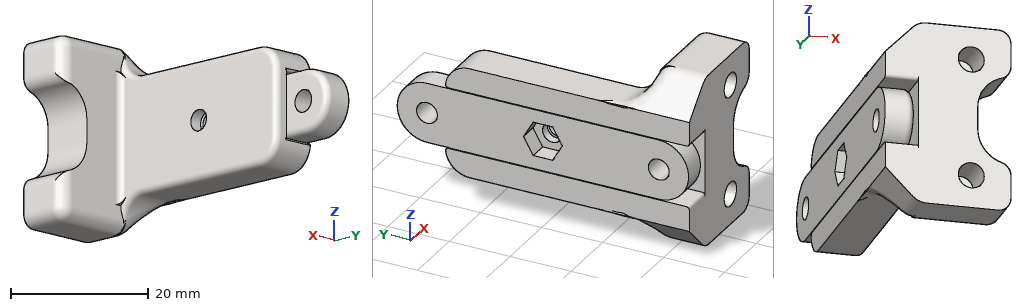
import cadquery as cq
import math

bar_thickness = 7.0
bar_length = 40.0
bar_half_width = 9.0
bar_corner_radius = 4.0
bar_edge_radius = 1.0

foot_width = 19.0
foot_half_height = 14.0
foot_thickness = 8.0
foot_corner_radius = 2.0
foot_bevel_radius = 3.0
foot_edge_radius = 2.0

flare_radius = 4.0
rim_radius = 2.75
root_radius = 1.0

notch_floor_x = 14.0
notch_radius = 5.0
notch_half_height = 6.75
notch_lip_radius = 2.0

screw_diameter = 3.9
screw_depth = 6.0
screw_x = 13.0
screw_z = 9.0

slot_half_width = 5.0
slot_depth = 5.0
slot_mouth_radius = 0.5

arm_radius = 4.88
arm_thickness = 4.5
arm_edge_radius = 1.0
arm_hole_spacing = 19.0
arm_first_hole_y = 5.0
arm_hole_diameter = 3.4

bolt_diameter = 3.2
nut_across_flats = 5.5
nut_depth = 3.0
bolt_y = arm_first_hole_y + arm_hole_spacing

bevel = foot_half_height - bar_half_width
flare_end_y = foot_thickness + flare_radius
flare_top_z = bar_half_width + flare_radius
clearance = 2.0


def foot_outline(width, length):
    """Prism along Y with bevelled, rounded corners on its X = 0 side."""
    upper = [(0, bar_half_width), (bevel, foot_half_height), (width, foot_half_height)]
    lower = [(x, -z) for x, z in reversed(upper)]
    prism = cq.Workplane("XZ").polyline(upper + lower).close().extrude(-length)
    bevel_ends = cq.selectors.BoxSelector(
        (bevel - clearance, 0, -foot_half_height - clearance),
        (bevel + clearance, length, foot_half_height + clearance),
    )
    return prism.edges("|Y").edges(bevel_ends).fillet(foot_bevel_radius)


def flared_profile():
    """Bar that widens through concave quarter-round flares into an oversize base."""
    base_z = foot_half_height + clearance
    return (
        cq.Workplane("YZ")
        .moveTo(0, base_z)
        .lineTo(foot_thickness, base_z)
        .lineTo(foot_thickness, flare_top_z)
        .radiusArc((flare_end_y, bar_half_width), -flare_radius)
        .lineTo(bar_length, bar_half_width)
        .lineTo(bar_length, -bar_half_width)
        .lineTo(flare_end_y, -bar_half_width)
        .radiusArc((foot_thickness, -flare_top_z), -flare_radius)
        .lineTo(foot_thickness, -base_z)
        .lineTo(0, -base_z)
        .close()
        .extrude(bar_thickness)
    )


def make_bar():
    """Bar and flares, cut to the foot outline, with all rims rounded."""
    profile = flared_profile()
    body = profile.intersect(foot_outline(bar_thickness, bar_length))

    flare_rims = cq.selectors.BoxSelector(
        (0, foot_thickness, -flare_top_z), (bar_thickness - clearance, flare_end_y, flare_top_z)
    )
    body = body.edges(flare_rims).edges("%ELLIPSE").fillet(rim_radius)

    rounded = profile.edges("|X").edges(">Y").fillet(bar_corner_radius)
    outer_rim = cq.selectors.BoxSelector(
        (bar_thickness - clearance, foot_thickness, -foot_half_height),
        (bar_thickness + clearance, bar_length + clearance, foot_half_height),
    )
    rounded = rounded.edges(outer_rim).edges("not |X").fillet(bar_edge_radius)
    return body.cut(profile.cut(rounded))


def make_foot():
    """Foot plate beyond the bar, rounded along its +Y rim."""
    plate = foot_outline(foot_width, foot_thickness)
    plate = plate.edges("|Y and >X").fillet(foot_corner_radius)
    plate = plate.faces(">Y").edges(">X").fillet(foot_edge_radius)
    start_x = bar_thickness - bar_edge_radius
    beyond_bar = (
        cq.Workplane("XY")
        .box(foot_width, foot_thickness, 2 * foot_half_height, centered=(False, False, True))
        .translate((start_x, 0, 0))
    )
    return plate.intersect(beyond_bar)


def make_root_fillet():
    """Concave fillet in the corner between the bar's +X face and the foot, its ends slanted."""
    face_edge_radius = flare_radius + bar_edge_radius
    bottom_y = foot_thickness - root_radius
    top_y = foot_thickness + root_radius
    foot_half_length = flare_top_z - math.sqrt(face_edge_radius**2 - flare_radius**2)
    top_half_length = flare_top_z - math.sqrt(face_edge_radius**2 - (flare_end_y - top_y) ** 2)
    bottom_half_length = 2 * foot_half_length - top_half_length
    inner_x = bar_thickness - bar_edge_radius / 2
    outer_x = bar_thickness + root_radius
    fillet = (
        cq.Workplane("XY")
        .moveTo(inner_x, bottom_y)
        .lineTo(outer_x, bottom_y)
        .lineTo(outer_x, foot_thickness)
        .radiusArc((bar_thickness, top_y), root_radius)
        .lineTo(inner_x, top_y)
        .close()
        .extrude(bottom_half_length, both=True)
    )
    slanted_ends = (
        cq.Workplane("YZ")
        .polyline([
            (bottom_y, bottom_half_length),
            (top_y, top_half_length),
            (top_y, -top_half_length),
            (bottom_y, -bottom_half_length),
        ])
        .close()
        .extrude(outer_x)
    )
    return fillet.intersect(slanted_ends)


def make_notch():
    """Cutter for the notch: flat floor, round corners and rounded lips at the foot's +X face."""
    centre_z = notch_half_height - notch_radius
    lip_x = foot_width - notch_lip_radius
    to_lip = notch_radius + notch_lip_radius
    arc_x = notch_floor_x + notch_radius

    lip_z = centre_z + math.sqrt(to_lip**2 - (arc_x - lip_x) ** 2)
    blend = notch_radius / to_lip
    blend_x = arc_x + blend * (lip_x - arc_x)
    blend_z = centre_z + blend * (lip_z - centre_z)
    outside_x = foot_width + clearance
    return (
        cq.Workplane("XZ")
        .moveTo(notch_floor_x, -centre_z)
        .lineTo(notch_floor_x, centre_z)
        .radiusArc((blend_x, blend_z), notch_radius)
        .radiusArc((foot_width, lip_z), -notch_lip_radius)
        .lineTo(outside_x, lip_z)
        .lineTo(outside_x, -lip_z)
        .lineTo(foot_width, -lip_z)
        .radiusArc((blend_x, -blend_z), -notch_lip_radius)
        .radiusArc((notch_floor_x, -centre_z), notch_radius)
        .close()
        .extrude(-foot_thickness - clearance)
    )


def make_slot():
    """Cutter for the arm slot, widening at both ends through small convex rounds."""
    mouth = slot_half_width + slot_mouth_radius
    r = slot_mouth_radius
    return (
        cq.Workplane("YZ")
        .moveTo(-clearance, mouth)
        .lineTo(0, mouth)
        .radiusArc((r, slot_half_width), -r)
        .lineTo(bar_length - r, slot_half_width)
        .radiusArc((bar_length, mouth), -r)
        .lineTo(bar_length + clearance, mouth)
        .lineTo(bar_length + clearance, -mouth)
        .lineTo(bar_length, -mouth)
        .radiusArc((bar_length - r, -slot_half_width), -r)
        .lineTo(r, -slot_half_width)
        .radiusArc((0, -mouth), -r)
        .lineTo(-clearance, -mouth)
        .close()
        .extrude(slot_depth)
    )


def hole_along_x(diameter, y):
    """Cutter for a hole along X, long enough to pass through bar and arm."""
    return cq.Workplane("YZ").center(y, 0).circle(diameter / 2).extrude(bar_thickness)


def make_bracket():
    bar = make_bar()
    bar = bar.cut(make_slot())
    bar = bar.cut(hole_along_x(bolt_diameter, bolt_y))
    foot = make_foot().cut(make_notch())
    screw_holes = (
        cq.Workplane("XZ")
        .pushPoints([(screw_x, screw_z), (screw_x, -screw_z)])
        .circle(screw_diameter / 2)
        .extrude(-screw_depth)
    )
    foot = foot.cut(screw_holes)
    return bar.union(foot).union(make_root_fillet())


def make_arm():
    length = 2 * (arm_hole_spacing + arm_radius)
    arm = cq.Workplane("YZ").center(bolt_y, 0).slot2D(length, 2 * arm_radius).extrude(arm_thickness)
    arm = arm.faces(">X").edges().fillet(arm_edge_radius)
    for y in (bolt_y - arm_hole_spacing, bolt_y + arm_hole_spacing):
        arm = arm.cut(hole_along_x(arm_hole_diameter, y))
    arm = arm.cut(hole_along_x(bolt_diameter, bolt_y))
    nut_across_corners = nut_across_flats / math.cos(math.pi / 6)
    nut_pocket = cq.Workplane("YZ").center(bolt_y, 0).polygon(6, nut_across_corners).extrude(nut_depth)
    return arm.cut(nut_pocket)


bracket = make_bracket()
arm = make_arm()

result = cq.Compound.makeCompound([bracket.val(), arm.val()])